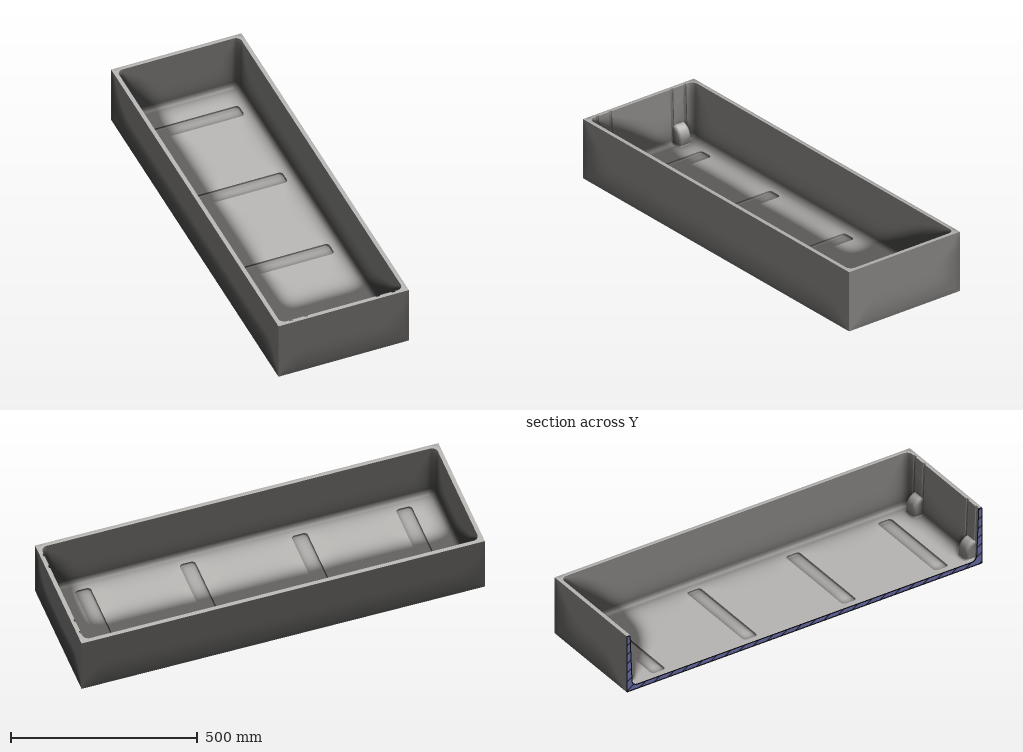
import cadquery as cq
import math

LENGTH = 1143.0
DEPTH = 380.0
HEIGHT = 178.0
RIM = 11.0
FLOOR = 15.0
WALL_LEAN = 7.0
CORNER_RADIUS = 17.0
FLOOR_RADIUS = 15.0

RECESS_WIDTH = 45.0
RECESS_LENGTH = 281.0
RECESS_DEPTH = 7.0
RECESS_FOOT = 3.0
RECESS_RADIUS = 10.0
INNER_RECESS_X = 159.0
OUTER_RECESS_X = 455.0

STOP_Y = 127.0
STOP_WIDTH = 41.0
STOP_REACH = 32.0
STOP_HEIGHT = 57.0
STOP_RADIUS = 10.0
STOP_FOOT = 2.9

GROOVE_WIDTH = 10.0
GROOVE_DEPTH = 3.0
GROOVE_SPACING = 45.0

cavity_depth = HEIGHT - FLOOR
wall_angle = math.degrees(math.atan(WALL_LEAN / cavity_depth))
rim_x = LENGTH / 2 - RIM
stop_front_x = rim_x - STOP_REACH
stop_back_x = rim_x + RIM / 2


def make_cavity():
    """Leaning-walled hollow with rounded upright corners and a rounded floor edge."""
    return (
        cq.Workplane("XY")
        .workplane(offset=HEIGHT)
        .rect(LENGTH - 2 * RIM, DEPTH - 2 * RIM)
        .extrude(-cavity_depth, taper=wall_angle)
        .edges("not(#Z or |X or |Y)")
        .fillet(CORNER_RADIUS)
        .faces("<Z")
        .edges()
        .fillet(FLOOR_RADIUS)
    )


def make_recesses():
    """Four shallow pockets across the floor with a filleted bottom edge."""
    outline = cq.Sketch().rect(RECESS_WIDTH, RECESS_LENGTH).vertices().fillet(RECESS_RADIUS)
    places = [(x, 0) for x in (-OUTER_RECESS_X, -INNER_RECESS_X, INNER_RECESS_X, OUTER_RECESS_X)]
    return (
        cq.Workplane("XY")
        .workplane(offset=FLOOR)
        .pushPoints(places)
        .placeSketch(outline)
        .extrude(-RECESS_DEPTH)
        .faces("<Z")
        .edges()
        .fillet(RECESS_FOOT)
    )


def make_stop(y):
    """Block with a quarter-round top whose back end is buried in the +X wall."""
    crown_radius = stop_back_x - stop_front_x
    top = FLOOR + STOP_HEIGHT
    crown_start = top - crown_radius
    slant = crown_radius * math.sqrt(0.5)
    return (
        cq.Workplane("XZ", origin=(0, y + STOP_WIDTH / 2, 0))
        .moveTo(stop_front_x, FLOOR / 2)
        .lineTo(stop_front_x, crown_start)
        .threePointArc(
            (stop_back_x - slant, crown_start + slant),
            (stop_back_x, top),
        )
        .lineTo(stop_back_x, FLOOR / 2)
        .close()
        .extrude(STOP_WIDTH)
        .faces("<Y or >Y")
        .edges("not(<Z or >X)")
        .fillet(STOP_RADIUS)
    )


def make_foot(y):
    """Low 45 degree skirt where a stop meets the floor."""
    front_x = stop_front_x - STOP_FOOT
    outline = (
        cq.Sketch()
        .rect(stop_back_x - front_x, STOP_WIDTH + 2 * STOP_FOOT)
        .vertices("<X")
        .fillet(STOP_RADIUS + STOP_FOOT)
    )
    return (
        cq.Workplane("XY")
        .workplane(offset=FLOOR)
        .center((front_x + stop_back_x) / 2, y)
        .placeSketch(outline)
        .extrude(STOP_FOOT, taper=45)
    )


def make_groove(y):
    """Shallow groove that follows the lean of the +X wall from the rim to the floor."""
    outer_x = rim_x + GROOVE_DEPTH
    return (
        cq.Workplane("XZ", origin=(0, y + GROOVE_WIDTH / 2, 0))
        .moveTo(outer_x, HEIGHT)
        .lineTo(outer_x - WALL_LEAN, FLOOR)
        .lineTo(outer_x - WALL_LEAN - RIM, FLOOR)
        .lineTo(outer_x - RIM, HEIGHT)
        .close()
        .extrude(GROOVE_WIDTH)
    )


tray = cq.Workplane("XY").box(LENGTH, DEPTH, HEIGHT, centered=(True, True, False))
tray = tray.cut(make_cavity()).cut(make_recesses())

for stop_y in (-STOP_Y, STOP_Y):
    for side in (-1, 1):
        tray = tray.cut(make_groove(stop_y + side * GROOVE_SPACING / 2))
    tray = tray.union(make_stop(stop_y)).union(make_foot(stop_y))

result = tray